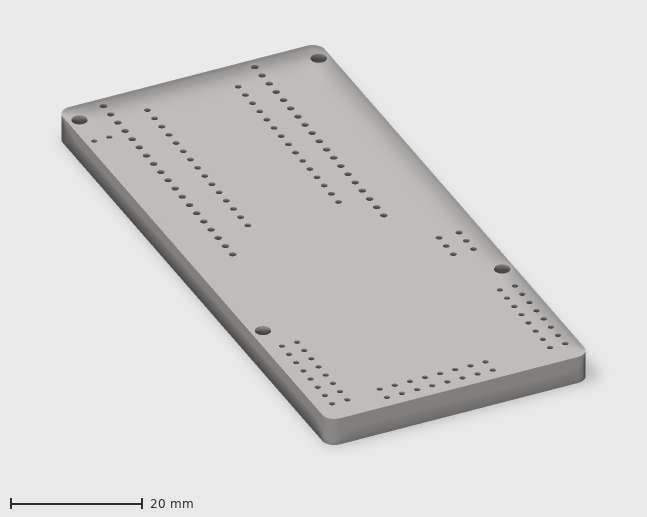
import cadquery as cq

length = 96.0
width = 44.0
thickness = 4.7
corner_radius = 2.0

mount_diameter = 2.5
main_pin_diameter = 1.2
program_pin_diameter = 1.1
inner_pin_diameter = 1.1
small_pin_diameter = 1.0

header_rows = 2
main_pins = 19
main_row_length = 45.7
pitch = main_row_length / (main_pins - 1)

mount_left_x = -44.1
mount_right_x = 20.9
mount_y = 20.1

main_x = -46.0
main_upper_y = 10.3
main_row_gap = 10 * pitch

inner_pins = 15
inner_x = -42.15
inner_upper_y = 5.7
inner_row_gap = 6 * pitch

connector_pins = 8
connector_x = 26.0
upper_connector_y = 17.3
lower_connector_y = -19.3
end_connector_x = 43.2
end_connector_y = -11.0

program_pins = 3
program_x = 8.9
program_y = 15.2
program_row_gap = 3.4

jumper_pins = 2
jumper_x = -37.8
jumper_y = -20.5


def pin_grid(first_x, first_y, columns, rows, row_gap=pitch):
    """Pin centres counted right and up from the lower-left pin."""
    return [
        (first_x + column * pitch, first_y + row * row_gap)
        for column in range(columns)
        for row in range(rows)
    ]


def drill(body, centres, diameter):
    """Cut through-holes at the given centres."""
    return body.faces(">Z").workplane(origin=(0, 0, 0)).pushPoints(centres).hole(diameter)


board = cq.Workplane("XY").box(length, width, thickness).edges("|Z").fillet(corner_radius)

mount_centres = [(x, y) for x in (mount_left_x, mount_right_x) for y in (-mount_y, mount_y)]
board = drill(board, mount_centres, mount_diameter)

main_centres = pin_grid(main_x, main_upper_y - main_row_gap, main_pins, header_rows, main_row_gap)
board = drill(board, main_centres, main_pin_diameter)

program_centres = pin_grid(program_x, program_y, program_pins, header_rows, program_row_gap)
board = drill(board, program_centres, program_pin_diameter)

inner_centres = pin_grid(inner_x, inner_upper_y - inner_row_gap, inner_pins, header_rows, inner_row_gap)
board = drill(board, inner_centres, inner_pin_diameter)

small_centres = (
    pin_grid(connector_x, upper_connector_y, connector_pins, header_rows)
    + pin_grid(connector_x, lower_connector_y, connector_pins, header_rows)
    + pin_grid(end_connector_x, end_connector_y, header_rows, connector_pins)
    + pin_grid(jumper_x, jumper_y, 1, jumper_pins)
)
result = drill(board, small_centres, small_pin_diameter)